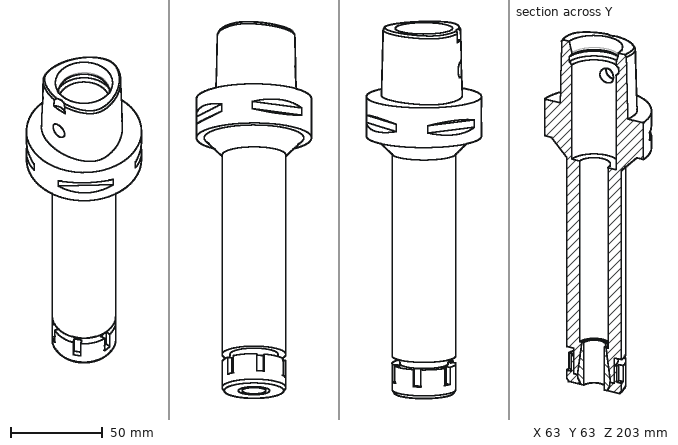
import cadquery as cq
import math

TOTAL_LENGTH = 203.0
SHOULDER_Z = 165.0
FLANGE_BOTTOM_Z = 143.0
CONE_BOTTOM_Z = 133.2
SHAFT_BOTTOM_Z = 20.5
NUT_TOP_Z = 16.2

FLANGE_RADIUS = 31.5
SHAFT_RADIUS = 17.5
CONE_TOP_RADIUS = SHAFT_RADIUS + FLANGE_BOTTOM_Z - CONE_BOTTOM_Z
NECK_RADIUS = 13.2

SHANK_BASE_RADIUS = 22.1
SHANK_LOBE = 1.5
OUTLINE_POINTS = 24
SHANK_TAPER = 1 / 40
SHANK_CHAMFER_HEIGHT = 1.5
SHANK_CHAMFER_RADIAL = 0.8

GROOVE_COUNT = 4
GROOVE_CENTRE_Z = 153.0
GROOVE_FLOOR_DISTANCE = 27.6
GROOVE_FLOOR_HEIGHT = 4.0
GROOVE_FLANK_ANGLE = 27.0

NOTCH_RADIUS = 6.0
NOTCH_DRAFT = 3.0
NOTCH_FLOOR_DISTANCE = 17.9
NOTCH_HEIGHT = 6.3
RADIAL_HOLE_RADIUS = 4.3
RADIAL_HOLE_Z = 180.7

MOUTH_RADIUS = 15.6
MOUTH_DEPTH = 6.3
BORE_RADIUS = 14.0
CLAMP_GROOVE_RADIUS = 15.6
CLAMP_GROOVE_START = 7.7
CLAMP_GROOVE_END = 13.8
CLAMP_GROOVE_FLANK = CLAMP_GROOVE_RADIUS - BORE_RADIUS
BORE_FLOOR_Z = CONE_BOTTOM_Z
COOLANT_BORE_RADIUS = 9.0

COLLET_BORE_RADIUS = 6.5
COLLET_TOP_RADIUS = 7.5
COLLET_HEAD_RADIUS = 10.4
COLLET_FACE_RADIUS = 8.5
COLLET_ANGLE = 8.0
COLLET_FACE_ANGLE = 30.0
HOLDER_END_Z = 5.3
COLLET_TOP_Z = HOLDER_END_Z + (COLLET_HEAD_RADIUS - COLLET_TOP_RADIUS) / math.tan(math.radians(COLLET_ANGLE))
COLLET_FACE_HEIGHT = (COLLET_HEAD_RADIUS - COLLET_FACE_RADIUS) / math.tan(math.radians(COLLET_FACE_ANGLE))

NUT_RADIUS = SHAFT_RADIUS
NUT_CHAMFER_RADIAL = 1.2
NUT_CHAMFER_HEIGHT = 1.8
NUT_SLOT_COUNT = 6
NUT_SLOT_WIDTH = 4.3
NUT_SLOT_BOTTOM_Z = 6.7
NUT_SLOT_FLOOR_DISTANCE = 14.6


def revolve(points):
    """Solid of revolution about Z from (radius, z) points."""
    return cq.Workplane("XZ").polyline(points).close().revolve(360, (0, 0), (0, 1))


def lobed_wire(mean_radius, z):
    """Closed three-lobed outline of constant width with one lobe towards +Y."""

    def point(angle):
        lobe_angle = 3 * (angle - math.pi / 2)
        reach = mean_radius + SHANK_LOBE * math.cos(lobe_angle)
        slide = -3 * SHANK_LOBE * math.sin(lobe_angle)
        x = reach * math.cos(angle) - slide * math.sin(angle)
        y = reach * math.sin(angle) + slide * math.cos(angle)
        return cq.Vector(x, y, z)

    points = [point(2 * math.pi * index / OUTLINE_POINTS) for index in range(OUTLINE_POINTS)]
    return cq.Wire.assembleEdges([cq.Edge.makeSpline(points, periodic=True)])


def make_shank():
    rim_z = TOTAL_LENGTH - SHANK_CHAMFER_HEIGHT
    rim_radius = SHANK_BASE_RADIUS - SHANK_TAPER * (rim_z - SHOULDER_Z)
    base = lobed_wire(SHANK_BASE_RADIUS, SHOULDER_Z)
    rim = lobed_wire(rim_radius, rim_z)
    top = lobed_wire(rim_radius - SHANK_CHAMFER_RADIAL, TOTAL_LENGTH)
    body = cq.Solid.makeLoft([base, rim], True)
    chamfered_rim = cq.Solid.makeLoft([rim, top], True)
    return cq.Workplane(body).union(cq.Workplane(chamfered_rim))


def make_gripper_groove(angle):
    half_floor = GROOVE_FLOOR_HEIGHT / 2
    depth = FLANGE_RADIUS - GROOVE_FLOOR_DISTANCE
    half_mouth = half_floor + depth * math.tan(math.radians(GROOVE_FLANK_ANGLE))
    return (
        cq.Workplane("XZ")
        .polyline(
            [
                (GROOVE_FLOOR_DISTANCE, GROOVE_CENTRE_Z - half_floor),
                (FLANGE_RADIUS, GROOVE_CENTRE_Z - half_mouth),
                (FLANGE_RADIUS, GROOVE_CENTRE_Z + half_mouth),
                (GROOVE_FLOOR_DISTANCE, GROOVE_CENTRE_Z + half_floor),
            ]
        )
        .close()
        .extrude(FLANGE_RADIUS, both=True)
        .rotate((0, 0, 0), (0, 0, 1), angle)
    )


def make_holder_bore():
    def depth(distance):
        return TOTAL_LENGTH - distance

    return revolve(
        [
            (0, TOTAL_LENGTH),
            (MOUTH_RADIUS, TOTAL_LENGTH),
            (BORE_RADIUS, depth(MOUTH_DEPTH)),
            (BORE_RADIUS, depth(CLAMP_GROOVE_START)),
            (CLAMP_GROOVE_RADIUS, depth(CLAMP_GROOVE_START + CLAMP_GROOVE_FLANK)),
            (CLAMP_GROOVE_RADIUS, depth(CLAMP_GROOVE_END - CLAMP_GROOVE_FLANK)),
            (BORE_RADIUS, depth(CLAMP_GROOVE_END)),
            (BORE_RADIUS, BORE_FLOOR_Z),
            (COOLANT_BORE_RADIUS, BORE_FLOOR_Z),
            (COOLANT_BORE_RADIUS, COLLET_TOP_Z),
            (COLLET_TOP_RADIUS, COLLET_TOP_Z),
            (COLLET_HEAD_RADIUS, HOLDER_END_Z),
            (0, HOLDER_END_Z),
        ]
    )


def make_holder():
    body = revolve(
        [
            (0, HOLDER_END_Z),
            (NECK_RADIUS, HOLDER_END_Z),
            (NECK_RADIUS, SHAFT_BOTTOM_Z),
            (SHAFT_RADIUS, SHAFT_BOTTOM_Z),
            (SHAFT_RADIUS, CONE_BOTTOM_Z),
            (CONE_TOP_RADIUS, FLANGE_BOTTOM_Z),
            (FLANGE_RADIUS, FLANGE_BOTTOM_Z),
            (FLANGE_RADIUS, SHOULDER_Z),
            (0, SHOULDER_Z),
        ]
    )
    body = body.union(make_shank())

    for index in range(GROOVE_COUNT):
        body = body.cut(make_gripper_groove(45 + index * 360 / GROOVE_COUNT))

    notch = (
        cq.Workplane("XY", origin=(0, -NOTCH_FLOOR_DISTANCE - NOTCH_RADIUS, TOTAL_LENGTH - NOTCH_HEIGHT))
        .circle(NOTCH_RADIUS)
        .extrude(NOTCH_HEIGHT, taper=NOTCH_DRAFT)
    )
    radial_hole = (
        cq.Workplane("XZ", origin=(0, 0, RADIAL_HOLE_Z))
        .circle(RADIAL_HOLE_RADIUS)
        .extrude(FLANGE_RADIUS)
    )
    return body.cut(notch).cut(radial_hole).cut(make_holder_bore())


def make_collet():
    return revolve(
        [
            (COLLET_BORE_RADIUS, 0),
            (COLLET_FACE_RADIUS, 0),
            (COLLET_HEAD_RADIUS, COLLET_FACE_HEIGHT),
            (COLLET_HEAD_RADIUS, HOLDER_END_Z),
            (COLLET_TOP_RADIUS, COLLET_TOP_Z),
            (COLLET_BORE_RADIUS, COLLET_TOP_Z),
        ]
    )


def make_nut():
    nut = revolve(
        [
            (COLLET_FACE_RADIUS, 0),
            (NUT_RADIUS - NUT_CHAMFER_RADIAL, 0),
            (NUT_RADIUS, NUT_CHAMFER_HEIGHT),
            (NUT_RADIUS, NUT_TOP_Z),
            (NECK_RADIUS, NUT_TOP_Z),
            (NECK_RADIUS, HOLDER_END_Z),
            (COLLET_HEAD_RADIUS, HOLDER_END_Z),
            (COLLET_HEAD_RADIUS, COLLET_FACE_HEIGHT),
        ]
    )
    slot = cq.Workplane("XY").box(
        NUT_RADIUS, NUT_SLOT_WIDTH, NUT_TOP_Z - NUT_SLOT_BOTTOM_Z, centered=(False, True, False)
    )
    slot = slot.translate((NUT_SLOT_FLOOR_DISTANCE, 0, NUT_SLOT_BOTTOM_Z))
    for index in range(NUT_SLOT_COUNT):
        nut = nut.cut(slot.rotate((0, 0, 0), (0, 0, 1), index * 360 / NUT_SLOT_COUNT))
    return nut


holder = make_holder()
collet = make_collet()
nut = make_nut()
result = cq.Compound.makeCompound([holder.val(), collet.val(), nut.val()])